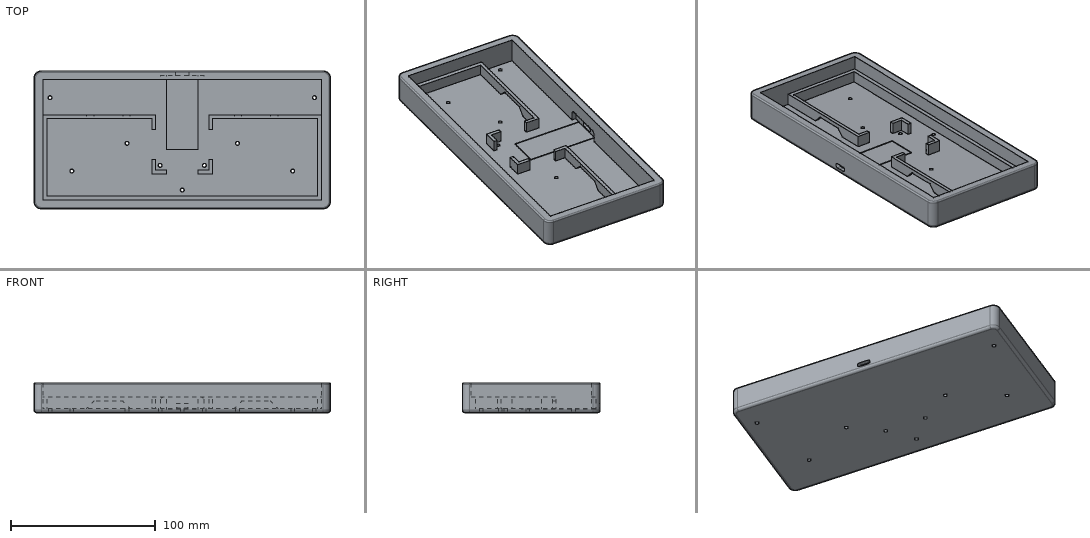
import cadquery as cq

case_length = 204.5
case_width = 95.15
case_height = 20.6
corner_radius = 5.0
top_edge_radius = 1.0
bottom_edge_radius = 2.0

wall = 6.0
floor_top = 3.0
cavity_length = case_length - 2 * wall
cavity_width = case_width - 2 * wall
cavity_back = cavity_width / 2
cavity_right = cavity_length / 2

rib_height = 8.0
rib_top = floor_top + rib_height
rib_thickness = 2.5
ledge_width = 3.0
rib_back = 17.1

holder_half_length = 21.0
holder_front = -23.4
holder_leg = 10.0

opening_center = 51.0
opening_top_length = 20.0
opening_height = 5.0
opening_base_length = opening_top_length + 2 * opening_height

groove_width = 21.5
groove_front = -6.6
groove_depth = 0.4

recess_length = 30.0
recess_depth = 3.0
recess_top = 11.0
recess_radius = 2.5
port_length = 9.5
port_height = 3.2
port_center_height = 5.0

hole_diameter = 2.5
mirrored_holes = [(91.2, 29.15), (38.1, -2.42), (76.2, -21.5), (15.25, -17.55)]
middle_hole = (0, -34.6)


def box(x_min, x_max, y_min, y_max, z_min, z_max):
    """A block given by its limits along each axis."""
    block = cq.Workplane("XY").box(x_max - x_min, y_max - y_min, z_max - z_min, centered=False)
    return block.translate((x_min, y_min, z_min))


def make_case():
    """Block with rounded edges and a square-cornered cavity open at the top."""
    block = cq.Workplane("XY").box(case_length, case_width, case_height, centered=(True, True, False))
    block = block.edges("|Z").fillet(corner_radius)
    block = block.faces(">Z").edges().fillet(top_edge_radius)
    block = block.faces("<Z").edges().fillet(bottom_edge_radius)
    cavity = box(-cavity_right, cavity_right, -cavity_back, cavity_back, floor_top, case_height)
    return block.cut(cavity)


def make_front_ledge():
    """Ledge along the front wall of the cavity."""
    ledge_back = -cavity_back + ledge_width
    return box(-cavity_right, cavity_right, -cavity_back, ledge_back, 0, rib_top)


def make_right_ribs():
    """Side ledge, back rib with its cable opening, and holder corner on the +X side."""
    side_ledge = box(cavity_right - ledge_width, cavity_right, -cavity_back, rib_back, 0, rib_top)
    holder_inner = holder_half_length - rib_thickness

    back_rib = box(holder_inner, cavity_right, rib_back - rib_thickness, rib_back, 0, rib_top)
    opening = (
        cq.Workplane("XZ", origin=(opening_center, rib_back, floor_top))
        .moveTo(-opening_base_length / 2, 0)
        .lineTo(opening_base_length / 2, 0)
        .lineTo(opening_top_length / 2, opening_height)
        .lineTo(-opening_top_length / 2, opening_height)
        .close()
        .extrude(rib_thickness)
    )
    back_rib = back_rib.cut(opening)

    back_leg = box(holder_inner, holder_half_length, rib_back - holder_leg, rib_back, 0, rib_top)
    front_leg = box(holder_inner, holder_half_length, holder_front, holder_front + holder_leg, 0, rib_top)
    front_foot = box(
        holder_half_length - holder_leg,
        holder_half_length,
        holder_front,
        holder_front + rib_thickness,
        0,
        rib_top,
    )
    return side_ledge.union(back_rib).union(back_leg).union(front_leg).union(front_foot)


def make_groove():
    """Shallow groove in the floor, reaching the back face of the wall recess."""
    groove_back = cavity_back + recess_depth
    half_width = groove_width / 2
    return box(-half_width, half_width, groove_front, groove_back, floor_top - groove_depth, floor_top)


def make_recess():
    """Pocket in the back wall, with its two upper corners rounded."""
    half_length = recess_length / 2
    recess = box(-half_length, half_length, cavity_back, cavity_back + recess_depth, floor_top, recess_top)
    return recess.edges("|Y and >Z").fillet(recess_radius)


def make_port():
    """Round-ended connector slot through the rest of the back wall."""
    port = cq.Workplane("XZ", origin=(0, case_width / 2, port_center_height))
    return port.slot2D(port_length, port_height).extrude(wall)


def make_screw_holes():
    """Round holes through the floor, mirrored about the YZ plane, and one in the middle."""
    points = [middle_hole]
    for x, y in mirrored_holes:
        points += [(x, y), (-x, y)]
    return cq.Workplane("XY").pushPoints(points).circle(hole_diameter / 2).extrude(floor_top)


right_ribs = make_right_ribs()
result = make_case().union(make_front_ledge()).union(right_ribs).union(right_ribs.mirror("YZ"))
for cutter in (make_groove(), make_recess(), make_port(), make_screw_holes()):
    result = result.cut(cutter)